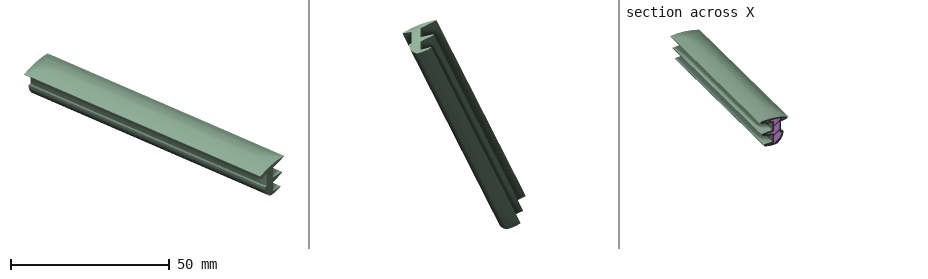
import cadquery as cq

length = 100.0
height = 11.8
stem_half = 1.5

wing_tip_y = 6.6
wing_tip_thickness = 0.3
wing_root_z = 9.6
crown_point = (1.1, 11.0)
lip_tip_y = -4.5
lip_bottom_z = 8.7
lip_tip_thickness = 0.2

fin_tip_y = 5.7
fin_tip_top_z = 6.4
fin_tip_thickness = 0.4
fin_root_top_z = 6.1
fin_root_bottom_z = 4.4

ledge_y = -2.4
ledge_z = 4.2
foot_round_point = (-1.6, 1.5)
foot_bottom_y = 0.3
foot_fin_belly_point = (2.6, 0.4)
foot_fin_tip_y = 4.9
foot_fin_tip_top_z = 1.6
foot_fin_tip_thickness = 0.3
foot_fin_root_z = 1.2

profile = (
    cq.Workplane("YZ")
    .moveTo(stem_half, wing_root_z)
    .lineTo(wing_tip_y, height - wing_tip_thickness)
    .lineTo(wing_tip_y, height)
    .threePointArc(crown_point, (lip_tip_y, lip_bottom_z + lip_tip_thickness))
    .lineTo(lip_tip_y, lip_bottom_z)
    .lineTo(-stem_half, lip_bottom_z)
    .lineTo(-stem_half, ledge_z)
    .lineTo(ledge_y, ledge_z)
    .threePointArc(foot_round_point, (foot_bottom_y, 0))
    .threePointArc(foot_fin_belly_point, (foot_fin_tip_y, foot_fin_tip_top_z - foot_fin_tip_thickness))
    .lineTo(foot_fin_tip_y, foot_fin_tip_top_z)
    .lineTo(stem_half, foot_fin_root_z)
    .lineTo(stem_half, fin_root_bottom_z)
    .lineTo(fin_tip_y, fin_tip_top_z - fin_tip_thickness)
    .lineTo(fin_tip_y, fin_tip_top_z)
    .lineTo(stem_half, fin_root_top_z)
    .close()
)

result = profile.extrude(length)